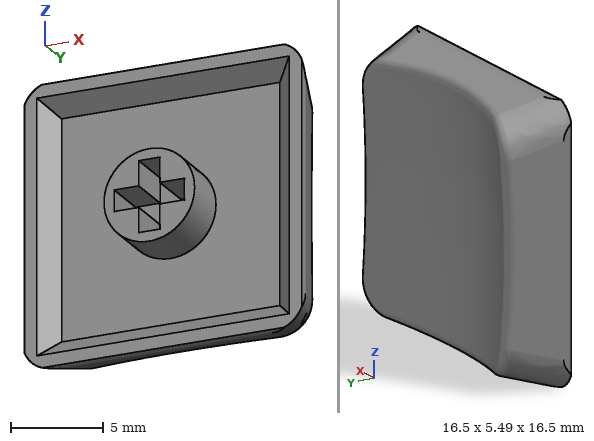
import cadquery as cq
import math

base_width = 16.5
skirt_height = 0.5
side_angle = 17.0
corner_radius = 2.03
blank_height = 4.95


dish_floor_height = 2.03
dish_radius_x = 17.32
dish_radius_z = 61.05
side_clearance = 1.65
top_edge_radius = 0.5

rim_width = 0.75
pocket_depth = 1.0
pocket_floor_width = 13.0

stem_diameter = 5.4
stem_length = 1.8
cross_span = 4.19
cross_arm_width = 1.25


def plane_at(height):
    """Sketch plane across Y whose normal points to the top of the cap."""
    return cq.Workplane("XZ", origin=(0, height, 0)).workplane(invert=True)


def square_frustum(start_height, start_width, end_height, end_width):
    return (
        plane_at(start_height)
        .rect(start_width, start_width)
        .workplane(offset=end_height - start_height)
        .rect(end_width, end_width)
        .loft(ruled=True)
    )


def tapered_blank():
    """Leaning walls with rounded corners, trimmed to the straight skirt."""
    lean = math.tan(math.radians(side_angle))
    rim_level_width = base_width + 2 * lean * skirt_height
    top_width = rim_level_width - 2 * lean * blank_height
    blank = square_frustum(0, rim_level_width, blank_height, top_width)
    blank = blank.edges("not(#Y)").fillet(corner_radius)
    skirt_limit = plane_at(0).rect(base_width, base_width).extrude(blank_height)
    return blank.intersect(skirt_limit)


def dish_cutter():
    """An arc across X, revolved about a distant axis parallel to X."""
    half_span = base_width / 2 + side_clearance
    arc_rise = dish_radius_x - math.sqrt(dish_radius_x**2 - half_span**2)
    arc_end_height = dish_floor_height + arc_rise
    cutter_top = 2 * blank_height
    axis_height = dish_floor_height + dish_radius_z
    sweep_angle = 20.0
    return (
        cq.Workplane("XY")
        .moveTo(-half_span, arc_end_height)
        .threePointArc((0, dish_floor_height), (half_span, arc_end_height))
        .lineTo(half_span, cutter_top)
        .lineTo(-half_span, cutter_top)
        .close()
        .revolve(sweep_angle, (0, axis_height, 0), (1, axis_height, 0))
        .rotate((0, axis_height, 0), (1, axis_height, 0), -sweep_angle / 2)
    )


def stem_cross():
    """Cross-shaped socket from the stem tip to the level of the pocket floor."""
    socket_depth = stem_length + pocket_depth
    tip = plane_at(-stem_length)
    arm_x = tip.rect(cross_span, cross_arm_width).extrude(socket_depth)
    arm_z = tip.rect(cross_arm_width, cross_span).extrude(socket_depth)
    return arm_x.union(arm_z)


cap = tapered_blank().cut(dish_cutter())
cap = cap.faces(">Y").edges().fillet(top_edge_radius)

pocket_opening = base_width - 2 * rim_width
cap = cap.cut(square_frustum(0, pocket_opening, pocket_depth, pocket_floor_width))

stem = plane_at(-stem_length).circle(stem_diameter / 2).extrude(stem_length + pocket_depth)
result = cap.union(stem).cut(stem_cross())